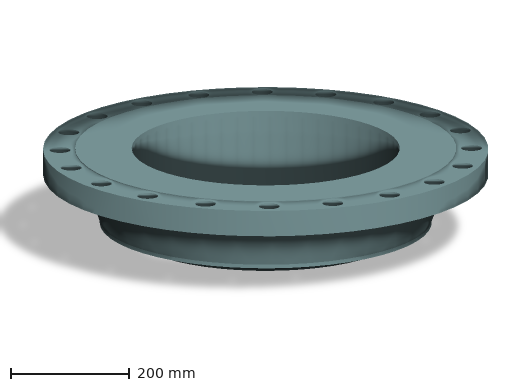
import math

import cadquery as cq


flange_diameter = 749.3
raised_face_diameter = 641.35
raised_face_height = 1.6
flange_thickness = 46.04
total_height = 149.22

bolt_circle_diameter = 692.15
bolt_hole_diameter = 34.93
bolt_hole_count = 20

bore_diameter = 450.85
hub_base_diameter = 616.5
neck_diameter = 558.8
neck_straight_length = 6.35
hub_fillet_radius = 11.5

root_land_width = 1.6
steep_bevel_reach = 19.05
steep_bevel_angle = 37.5
shallow_bevel_angle = 10.0

bore_radius = bore_diameter / 2
neck_radius = neck_diameter / 2
land_radius = bore_radius + root_land_width
bevel_break_radius = bore_radius + steep_bevel_reach
steep_bevel_height = (bevel_break_radius - land_radius) * math.tan(math.radians(steep_bevel_angle))
shallow_bevel_height = (neck_radius - bevel_break_radius) * math.tan(math.radians(shallow_bevel_angle))

weld_end_z = -total_height
bevel_break_z = weld_end_z + steep_bevel_height
neck_bottom_z = bevel_break_z + shallow_bevel_height
cone_bottom_z = neck_bottom_z + neck_straight_length
flange_bottom_z = -flange_thickness


def make_raised_face_disc():
    """Flange disc with the raised gasket face on top of it."""
    disc_height = flange_thickness - raised_face_height
    disc = cq.Workplane("XY", origin=(0, 0, flange_bottom_z)).circle(flange_diameter / 2).extrude(disc_height)
    return disc.faces(">Z").workplane().circle(raised_face_diameter / 2).extrude(raised_face_height)


def make_hub():
    """Conical hub ending in a short neck with a compound weld bevel."""
    profile = (
        cq.Workplane("XZ")
        .moveTo(0, flange_bottom_z)
        .lineTo(hub_base_diameter / 2, flange_bottom_z)
        .lineTo(neck_radius, cone_bottom_z)
        .lineTo(neck_radius, neck_bottom_z)
        .lineTo(bevel_break_radius, bevel_break_z)
        .lineTo(land_radius, weld_end_z)
        .lineTo(0, weld_end_z)
        .close()
    )
    return profile.revolve(360, (0, 0, 0), (0, 1, 0))


def fillet_hub_base(body):
    """Round the inside corner where the cone meets the underside of the disc."""
    underside = body.faces(cq.selectors.NearestToPointSelector((bolt_circle_diameter / 2, 0, flange_bottom_z)))
    return underside.edges(cq.selectors.RadiusNthSelector(0)).fillet(hub_fillet_radius)


def make_bore():
    """Cylinder removed along the whole axis."""
    return cq.Workplane("XY", origin=(0, 0, weld_end_z)).circle(bore_radius).extrude(total_height)


def make_bolt_holes():
    """Ring of cylinders through the flange disc, the first one on +X."""
    return (
        cq.Workplane("XY", origin=(0, 0, flange_bottom_z))
        .polarArray(bolt_circle_diameter / 2, 0, 360, bolt_hole_count)
        .circle(bolt_hole_diameter / 2)
        .extrude(flange_thickness)
    )


blank = fillet_hub_base(make_raised_face_disc().union(make_hub()))
result = blank.cut(make_bore()).cut(make_bolt_holes())